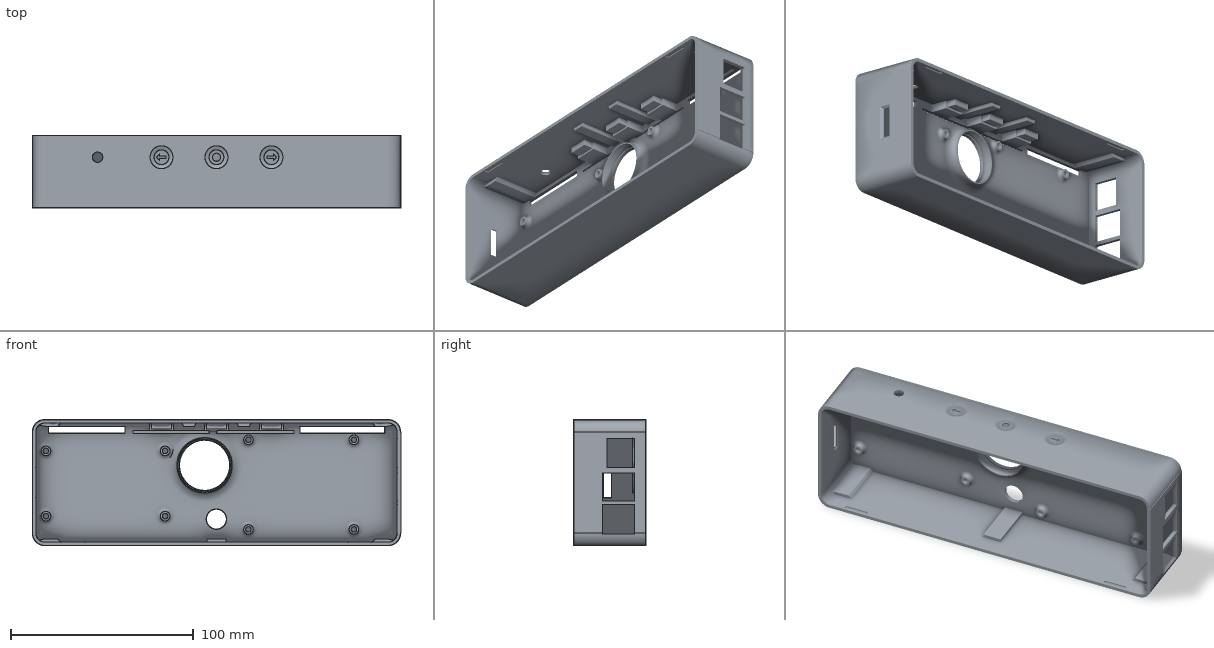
import cadquery as cq

LENGTH = 202.0
DEPTH = 39.5
HEIGHT = 69.0
WALL = 1.92
PANEL = 2.0
CORNER_RADIUS = 6.9
END_PAD = 0.3

BODY_LENGTH = LENGTH - END_PAD
BODY_MIN_X = -LENGTH / 2
BODY_MAX_X = BODY_MIN_X + BODY_LENGTH
BODY_CENTER_X = (BODY_MIN_X + BODY_MAX_X) / 2
FRONT_Y = -DEPTH / 2
BACK_Y = DEPTH / 2
PANEL_Y = BACK_Y - PANEL
TOP_Z = HEIGHT / 2
CEILING_Z = TOP_Z - WALL
INNER_RADIUS = CORNER_RADIUS - WALL
OVERCUT = 2.0

BOSS_RADIUS = 2.6
BOSS_FLARE = 2.2
BOSS_HEIGHT = 3.0
BOSS_HOLE_RADIUS = 1.52
BOSS_POINTS = [(x, z) for x in (-93.5, -28.3) for z in (17.4, -18.4)]
BOSS_POINTS += [(x, z) for x in (17.4, 75.1) for z in (23.5, -25.7)]

COLLAR_X = -6.7
COLLAR_Z = 9.5
COLLAR_RADIUS = 15.2
COLLAR_FLARE = 4.6
COLLAR_HEIGHT = 5.3
COLLAR_BORE_RADIUS = 14.5
COLLAR_OPENING_RADIUS = 13.7

CABLE_X = -0.2
CABLE_Z = -20.0
CABLE_RADIUS = 5.5

SLOT_FRONT_Y = PANEL_Y - COLLAR_HEIGHT
SLOT_BOTTOM_Z = 27.0
WIDE_SLOT_TOP_Z = 30.7
THIN_SLOT_TOP_Z = 28.3
WIDE_SLOTS = [(-92.1, -50.3), (45.7, 92.0)]
THIN_SLOTS = [(-45.9, -4.2), (0.0, 42.2)]

RIB_HEIGHT = 1.8
RIB_FOOT_Z = -CEILING_Z
RIB_CREST_Z = RIB_FOOT_Z + RIB_HEIGHT
RIB_SLOPE = 0.8
RIB_FRONT_Y = -9.7
CORNER_RIB_INNER_X = 87.0
CORNER_RIB_OUTER_X = 93.5
CORNER_RIB_END_X = 98.0
CORNER_RIB_FALL = 0.8
CENTER_RIB_CREST = 10.5
CENTER_RIB_FILLET = 0.8
CEILING_RIB_WIDTH = 7.7

BUTTON_PITCH = 30.0
BUTTON_Y = 7.9
DIMPLE_RADIUS = 6.3
DIMPLE_FLOOR_RADIUS = 4.0
DIMPLE_DEPTH = 0.8
BUTTON_BLOCK_WIDTH = 11.1
BUTTON_BLOCK_BOTTOM_Z = 29.3
BUTTON_MOUNT_WIDTH = 13.3
BUTTON_MOUNT_BOTTOM_Z = THIN_SLOT_TOP_Z
ICON_DEPTH = 0.6
DOT_RADIUS = 2.2
ARROW_TIP = 2.8
ARROW_NECK = 1.0
ARROW_TAIL = -2.5
ARROW_HEAD_HALF_WIDTH = 1.8
ARROW_SHAFT_HALF_WIDTH = 0.6

SENSOR_X = -65.2
SENSOR_RADIUS = 2.8

SWITCH_Y = -1.2
SWITCH_WIDTH = 4.2
SWITCH_HEIGHT = 16.5
SWITCH_CHAMFER = 1.2

WINDOW_MAX_Y = 13.5
WIDE_WINDOW_MIN_Y = -4.0
NARROW_WINDOW_MIN_Y = -1.5
WINDOWS = [
    (WIDE_WINDOW_MIN_Y, -28.0, -12.1),
    (WIDE_WINDOW_MIN_Y, -10.0, 5.3),
    (NARROW_WINDOW_MIN_Y, 8.3, 24.2),
]

GROOVE_LENGTH = 13.1
GROOVE_WIDTH = 1.8
GROOVE_DEPTH = 0.6
GROOVE_OFFSET = 78.5
GROOVE_Y = -17.5


def box(x0, x1, y0, y1, z0, z1):
    return cq.Workplane("XY").box(x1 - x0, y1 - y0, z1 - z0, centered=False).translate((x0, y0, z0))


def cylinder_y(x, z, radius, y0, y1):
    return cq.Workplane("XZ", origin=(x, y0, z)).circle(radius).extrude(y0 - y1)


def flared_boss(x, z, radius, flare, height):
    """Post on the panel whose foot sweeps outward in a concave arc."""
    foot = radius + flare
    arc_drop = flare * (1 - 0.5**0.5)
    profile = (
        cq.Workplane("XY")
        .moveTo(0, PANEL_Y + PANEL / 2)
        .lineTo(foot, PANEL_Y + PANEL / 2)
        .lineTo(foot, PANEL_Y)
        .threePointArc((radius + arc_drop, PANEL_Y - arc_drop), (radius, PANEL_Y - flare))
        .lineTo(radius, PANEL_Y - height)
        .lineTo(0, PANEL_Y - height)
        .close()
    )
    return profile.revolve(360, (0, 0, 0), (0, 1, 0)).translate((x, 0, z))


def make_shell():
    outer = box(BODY_MIN_X, BODY_MAX_X, FRONT_Y, BACK_Y, -TOP_Z, TOP_Z).edges("|Y").fillet(CORNER_RADIUS)
    pad_z = TOP_Z - CORNER_RADIUS
    outer = outer.union(box(0, LENGTH / 2, FRONT_Y, BACK_Y, -pad_z, pad_z))
    return outer.cut(make_cavity())


def make_cavity():
    cavity = box(BODY_MIN_X + WALL, BODY_MAX_X - WALL, FRONT_Y - OVERCUT, PANEL_Y, -CEILING_Z, CEILING_Z)
    return cavity.edges("|Y").fillet(INNER_RADIUS)


def rib(center_x, outline):
    """Floor rib running forward from the panel with the given X-Z outline."""
    plane = cq.Workplane("XZ", origin=(center_x, PANEL_Y, 0))
    return outline(plane).close().extrude(PANEL_Y - RIB_FRONT_Y)


def corner_outline(plane):
    """Crest with a 45 degree inner side and an outer side that dies into the rounded corner."""
    return plane.polyline([
        (CORNER_RIB_INNER_X - RIB_HEIGHT, RIB_FOOT_Z),
        (CORNER_RIB_INNER_X, RIB_CREST_Z),
        (CORNER_RIB_OUTER_X, RIB_CREST_Z),
        (CORNER_RIB_END_X, RIB_CREST_Z - CORNER_RIB_FALL),
        (CORNER_RIB_END_X, RIB_FOOT_Z),
    ])


def ceiling_outline(plane):
    half_foot = CEILING_RIB_WIDTH / 2
    half_crest = half_foot - RIB_SLOPE
    return plane.polyline([
        (-half_foot, RIB_FOOT_Z),
        (-half_crest, RIB_CREST_Z),
        (half_crest, RIB_CREST_Z),
        (half_foot, RIB_FOOT_Z),
    ])


def center_outline(plane):
    """Upright sides with a concave fillet at each foot."""
    half_crest = CENTER_RIB_CREST / 2
    radius = CENTER_RIB_FILLET
    return (
        plane.moveTo(-half_crest - radius, RIB_FOOT_Z)
        .radiusArc((-half_crest, RIB_FOOT_Z + radius), -radius)
        .lineTo(-half_crest, RIB_CREST_Z)
        .lineTo(half_crest, RIB_CREST_Z)
        .lineTo(half_crest, RIB_FOOT_Z + radius)
        .radiusArc((half_crest + radius, RIB_FOOT_Z), -radius)
    )


def add_ribs(part):
    corner_rib = rib(0, corner_outline)
    for corner in (corner_rib, corner_rib.mirror("YZ")):
        corner = corner.translate((BODY_CENTER_X, 0, 0))
        part = part.union(corner).union(corner.mirror("XY"))
    for side in (-1, 1):
        ceiling_rib = rib(BODY_CENTER_X + side * BUTTON_PITCH / 2, ceiling_outline)
        part = part.union(ceiling_rib.mirror("XY"))
    return part.union(rib(BODY_CENTER_X, center_outline))


def arrow(direction):
    """Arrow outline pointing along +X or -X."""
    tip = ARROW_TIP * direction
    neck = ARROW_NECK * direction
    tail = ARROW_TAIL * direction
    return [
        (tail, -ARROW_SHAFT_HALF_WIDTH),
        (neck, -ARROW_SHAFT_HALF_WIDTH),
        (neck, -ARROW_HEAD_HALF_WIDTH),
        (tip, 0),
        (neck, ARROW_HEAD_HALF_WIDTH),
        (neck, ARROW_SHAFT_HALF_WIDTH),
        (tail, ARROW_SHAFT_HALF_WIDTH),
    ]


def add_buttons(part):
    block = BUTTON_BLOCK_WIDTH / 2
    mount = BUTTON_MOUNT_WIDTH / 2
    root_z = CEILING_Z + WALL / 2
    front = BUTTON_Y - block
    back = BUTTON_Y + block
    for index in (-1, 0, 1):
        x = BODY_CENTER_X + index * BUTTON_PITCH
        part = part.union(box(x - block, x + block, front, back, BUTTON_BLOCK_BOTTOM_Z, root_z))
        part = part.union(box(x - mount, x + mount, BUTTON_Y, PANEL_Y, BUTTON_MOUNT_BOTTOM_Z, root_z))
        top_plane = cq.Workplane("XY", origin=(x, BUTTON_Y, TOP_Z))
        dimple = (
            top_plane.circle(DIMPLE_RADIUS)
            .workplane(offset=-DIMPLE_DEPTH)
            .circle(DIMPLE_FLOOR_RADIUS)
            .loft()
        )
        floor = cq.Workplane("XY", origin=(x, BUTTON_Y, TOP_Z - DIMPLE_DEPTH))
        icon = floor.circle(DOT_RADIUS) if index == 0 else floor.polyline(arrow(index)).close()
        part = part.cut(dimple).cut(icon.extrude(-ICON_DEPTH))
    return part


def cut_panel_slots(part):
    for slots, top in ((WIDE_SLOTS, WIDE_SLOT_TOP_Z), (THIN_SLOTS, THIN_SLOT_TOP_Z)):
        for x0, x1 in slots:
            part = part.cut(box(x0, x1, SLOT_FRONT_Y, BACK_Y + OVERCUT, SLOT_BOTTOM_Z, top))
    return part


def cut_switch_slot(part):
    outer = cq.Workplane("YZ", origin=(BODY_MIN_X, SWITCH_Y, 0))
    taper = (
        outer.rect(SWITCH_WIDTH + 2 * SWITCH_CHAMFER, SWITCH_HEIGHT + 2 * SWITCH_CHAMFER)
        .workplane(offset=SWITCH_CHAMFER)
        .rect(SWITCH_WIDTH, SWITCH_HEIGHT)
        .loft()
    )
    return part.cut(taper).cut(outer.rect(SWITCH_WIDTH, SWITCH_HEIGHT).extrude(WALL + OVERCUT))


def cut_windows(part):
    x0 = BODY_MAX_X - WALL - OVERCUT
    x1 = BODY_MAX_X + END_PAD + OVERCUT
    for near_y, bottom_z, top_z in WINDOWS:
        part = part.cut(box(x0, x1, near_y, WINDOW_MAX_Y, bottom_z, top_z))
    return part


def cut_grooves(part):
    for side in (-1, 1):
        x = BODY_CENTER_X + side * GROOVE_OFFSET
        x0, x1 = x - GROOVE_LENGTH / 2, x + GROOVE_LENGTH / 2
        y0, y1 = GROOVE_Y - GROOVE_WIDTH / 2, GROOVE_Y + GROOVE_WIDTH / 2
        groove = box(x0, x1, y0, y1, -CEILING_Z - GROOVE_DEPTH, -CEILING_Z)
        part = part.cut(groove).cut(groove.mirror("XY"))
    return part


def add_panel_bosses(part):
    part = part.union(flared_boss(COLLAR_X, COLLAR_Z, COLLAR_RADIUS, COLLAR_FLARE, COLLAR_HEIGHT))
    for x, z in BOSS_POINTS:
        part = part.union(flared_boss(x, z, BOSS_RADIUS, BOSS_FLARE, BOSS_HEIGHT))
    part = part.cut(cylinder_y(COLLAR_X, COLLAR_Z, COLLAR_BORE_RADIUS, PANEL_Y - COLLAR_HEIGHT, PANEL_Y))
    part = part.cut(cylinder_y(COLLAR_X, COLLAR_Z, COLLAR_OPENING_RADIUS, PANEL_Y, BACK_Y))
    for x, z in BOSS_POINTS:
        part = part.cut(cylinder_y(x, z, BOSS_HOLE_RADIUS, PANEL_Y - BOSS_HEIGHT, PANEL_Y))
    return part


result = make_shell()
result = add_ribs(result)
result = add_panel_bosses(result)
result = result.cut(cylinder_y(CABLE_X, CABLE_Z, CABLE_RADIUS, PANEL_Y, BACK_Y))
result = add_buttons(result)
sensor_plane = cq.Workplane("XY", origin=(SENSOR_X, BUTTON_Y, CEILING_Z))
sensor_hole = sensor_plane.circle(SENSOR_RADIUS).extrude(WALL)
result = result.cut(sensor_hole)
result = cut_panel_slots(result)
result = cut_switch_slot(result)
result = cut_windows(result)
result = cut_grooves(result)